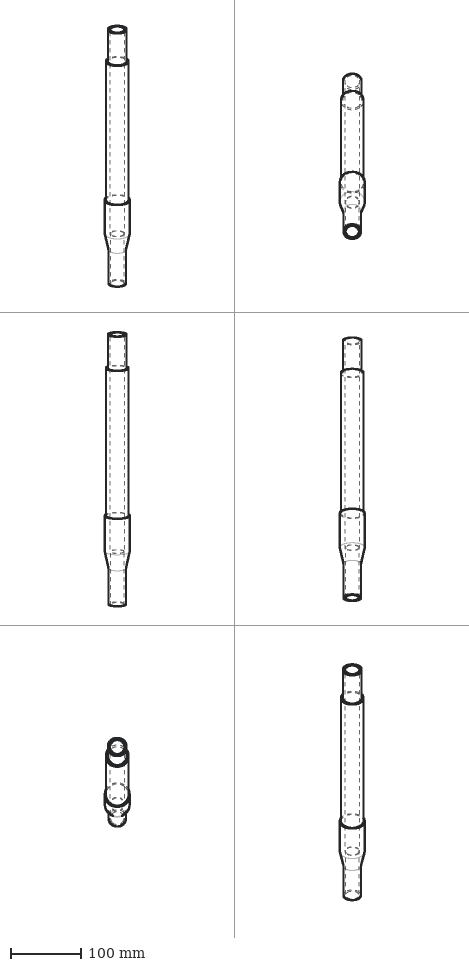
import cadquery as cq

total_length = 398.5

lower_diameter = 25.0
collar_diameter = 36.0
body_diameter = 32.3
upper_diameter = 27.0

lower_bore_diameter = 19.0
upper_bore_diameter = 20.7

lower_length = 52.5
taper_length = 25.0
collar_length = 53.0
upper_length = 50.0

taper_top = lower_length + taper_length
collar_top = taper_top + collar_length
body_top = total_length - upper_length

shaft = (
    cq.Workplane("XZ")
    .lineTo(lower_diameter / 2, 0)
    .lineTo(lower_diameter / 2, lower_length)
    .lineTo(collar_diameter / 2, taper_top)
    .lineTo(collar_diameter / 2, collar_top)
    .lineTo(body_diameter / 2, collar_top)
    .lineTo(body_diameter / 2, body_top)
    .lineTo(upper_diameter / 2, body_top)
    .lineTo(upper_diameter / 2, total_length)
    .lineTo(0, total_length)
    .close()
    .revolve(360, (0, 0, 0), (0, 1, 0))
)

lower_bore = cq.Workplane("XY").circle(lower_bore_diameter / 2).extrude(total_length)

upper_bore = (
    cq.Workplane("XY")
    .workplane(offset=taper_top)
    .circle(upper_bore_diameter / 2)
    .extrude(total_length - taper_top)
)

result = shaft.cut(lower_bore).cut(upper_bore)